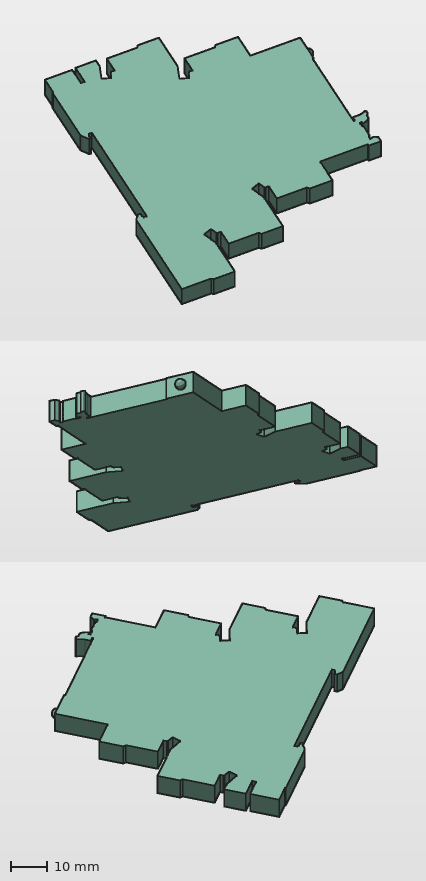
import cadquery as cq

length = 87.5
thickness = 6.2

lower_tier_length = 78.1
axis_x = lower_tier_length / 2

head_half_width = 22.0
head_top = 70.5
head_recess_top = 70.2
head_recess_start = 25.7

middle_half_width = 29.75
middle_top = 55.2
lower_half_width = lower_tier_length / 2
foot_top = 16.1
tier_pitch = 19.3
lower_top = foot_top + tier_pitch

flank_step = 0.7
flank_step_rise = 0.5
foot_flank_y = 9.0

notch_ceiling = 3.0
notch_mouth_wall = 2.0
notch_mouth_chamfer = (0.3, 1.7)
notch_tip = (2.1, 1.0)
notch_root = (1.1, -1.6)
notch_ramp_run = 3.2
middle_notch_half_width = 24.0
lower_notch_half_width = 33.4

foot_right_inset = 0.5
foot_left_inset = 0.3
foot_left_rise = 0.3
foot_left_rise_end = 5.6
slot_depth = 5.8
slot_bottom = 8.7
slot_top = 9.8
rail_left = 23.7
rail_right = 58.3
rail_depth = 3.2
rail_wall_bottom = 2.4
hook_top = 2.1
hook_corner_run = 0.7
left_hook_tip_x = 25.55
left_hook_tip_y = 1.6
left_hook_base_x = 23.0
left_hook_kink = (23.6, 0.3)
right_hook_tip_x = 56.7
right_hook_tip_y = 1.2
right_hook_base_x = 58.2

finger_left = 50.1
finger_gap_end = 51.45
finger_neck_top = 72.3
finger_tip = (49.5, 74.5)
finger_tip_round = (49.6, 74.7)
finger_crown_left = (49.9, 74.9)
finger_crown_right = (50.7, 74.9)
finger_shoulder_left = (51.1, 74.4)
finger_shoulder_right = (52.3, 74.4)
finger_back_middle = (53.1, 73.2)
finger_back_end = (53.55, 71.8)
finger_undercut_top = 72.0
saddle_groove = 71.4
saddle_top = 71.75
saddle_left = 54.25
saddle_right = 58.45
groove_left = 52.85
post_left = 59.5
post_lip = (59.15, 72.5)
post_chamfer_x = 59.85
post_right = 61.6
post_top = 73.7
post_bottom = 69.8

lamp_radius = 3.0 / 2
lamp_x = 20.9
lamp_collar_top = 71.05
lamp_embed = 0.9


def tier_outline(side, half_width, top, notch_half_width, shelf):
    """Points down one tier flank and through the notch below it; side is -1 left, +1 right."""
    step_y = shelf + tier_pitch - foot_top + foot_flank_y
    distances = [
        (half_width, top),
        (half_width, step_y + flank_step_rise),
        (half_width - flank_step, step_y),
        (half_width - flank_step, shelf + notch_ceiling),
        (notch_half_width, shelf + notch_ceiling),
        (notch_half_width, shelf + notch_mouth_wall),
        (notch_half_width - notch_mouth_chamfer[0], shelf + notch_mouth_chamfer[1]),
        (notch_half_width - notch_tip[0], shelf + notch_tip[1]),
        (notch_half_width - notch_root[0], shelf + notch_root[1]),
        (notch_half_width + notch_ramp_run, shelf),
    ]
    return [(axis_x + side * distance, y) for distance, y in distances]


def stepped_side(side):
    """Points down one side, from the foot of the head to the top of the foot tier."""
    head_corner = [(axis_x + side * head_half_width, middle_top)]
    middle = tier_outline(side, middle_half_width, middle_top, middle_notch_half_width, lower_top)
    lower = tier_outline(side, lower_half_width, lower_top, lower_notch_half_width, foot_top)
    return head_corner + middle + lower


def foot_outline():
    """Points along the foot tier, from its top left corner to its top right corner."""
    foot_right = length - foot_right_inset
    left_end = [
        (0, foot_top),
        (0, slot_top),
        (slot_depth, slot_top),
        (slot_depth, slot_bottom),
        (foot_left_inset, slot_bottom),
        (foot_left_inset, foot_left_rise),
        (foot_left_rise_end, foot_left_rise),
        (foot_left_rise_end, 0),
    ]
    rail_recess = [
        (left_hook_base_x, 0),
        left_hook_kink,
        (left_hook_tip_x, left_hook_tip_y),
        (left_hook_tip_x, hook_top),
        (rail_left + hook_corner_run, hook_top),
        (rail_left, rail_wall_bottom),
        (rail_left, rail_depth),
        (rail_right, rail_depth),
        (rail_right, rail_wall_bottom),
        (rail_right - hook_corner_run, hook_top),
        (right_hook_tip_x, hook_top),
        (right_hook_tip_x, right_hook_tip_y),
        (right_hook_base_x, 0),
    ]
    right_end = [
        (foot_right, 0),
        (foot_right, foot_flank_y),
        (length, foot_flank_y + flank_step_rise),
        (length, foot_top),
    ]
    return left_end + rail_recess + right_end


def make_housing():
    """Flat plate with the tiers, foot and latch in one outline, run anticlockwise from the head."""
    head_left = axis_x - head_half_width
    head_right = axis_x + head_half_width
    sides_and_foot = stepped_side(-1) + foot_outline() + stepped_side(1)[::-1]
    post_and_saddle = [
        (head_right, post_bottom),
        (post_right, post_bottom),
        (post_right, post_top),
        (post_chamfer_x, post_top),
        post_lip,
        (post_left, saddle_groove),
        (saddle_right, saddle_groove),
        (saddle_right, saddle_top),
        (saddle_left, saddle_top),
        (saddle_left, saddle_groove),
        (groove_left, saddle_groove),
        (groove_left, finger_undercut_top),
        finger_back_end,
    ]
    curl_run = finger_left - finger_tip[0]
    curl_rise = finger_tip[1] - finger_neck_top
    finger_curl_radius = (curl_run**2 + curl_rise**2) / (2 * curl_run)
    head_edge = [
        (finger_left, head_top),
        (finger_gap_end, head_top),
        (finger_gap_end, head_recess_top),
        (head_recess_start, head_recess_top),
        (head_recess_start, head_top),
    ]
    outline = cq.Workplane("XY").moveTo(head_left, head_top)
    for point in sides_and_foot + post_and_saddle:
        outline = outline.lineTo(*point)
    outline = (
        outline.threePointArc(finger_back_middle, finger_shoulder_right)
        .lineTo(*finger_shoulder_left)
        .lineTo(*finger_crown_right)
        .lineTo(*finger_crown_left)
        .threePointArc(finger_tip_round, finger_tip)
        .radiusArc((finger_left, finger_neck_top), finger_curl_radius)
    )
    for point in head_edge:
        outline = outline.lineTo(*point)
    return outline.close().extrude(thickness)


def make_lamp():
    """Lamp revolved about its own axis, which runs along Y at mid thickness."""
    base_y = head_top - lamp_embed
    half_section = (
        cq.Workplane("XY", origin=(lamp_x, 0, thickness / 2))
        .moveTo(0, base_y)
        .lineTo(lamp_radius, base_y)
        .lineTo(lamp_radius, lamp_collar_top)
        .radiusArc((0, lamp_collar_top + lamp_radius), -lamp_radius)
        .close()
    )
    return half_section.revolve(360, (0, 0, 0), (0, 1, 0))


result = make_housing().union(make_lamp())